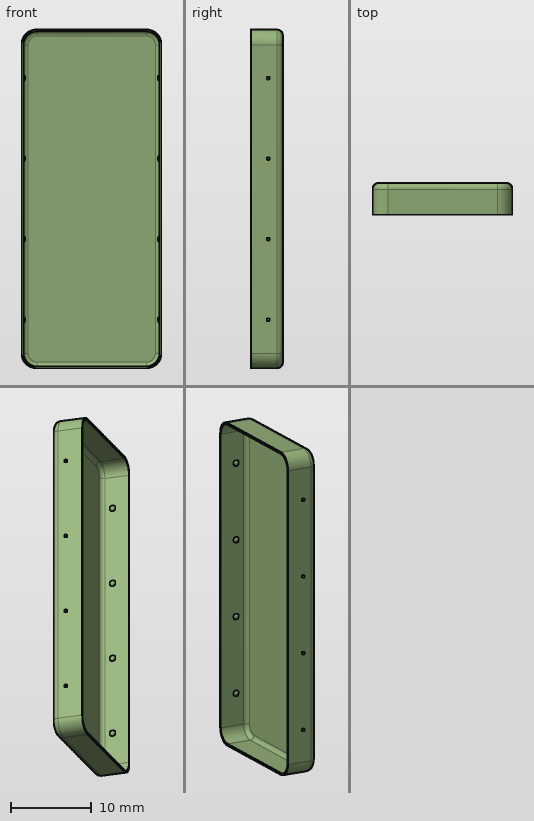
import cadquery as cq

WIDTH = 17.4
DEPTH = 4.0
HEIGHT = 42.1
WALL = 0.25
CORNER_RADIUS = 1.9
FLOOR_EDGE_RADIUS = 0.8

DIMPLES_PER_SIDE = 4
DIMPLE_ROW_LENGTH = 30.0
DIMPLE_FROM_RIM = 2.15
DIMPLE_RADIUS = 0.19
BUMP_RADIUS = 0.45

RIM_Y = -DEPTH / 2


def rounded_block(inset):
    """Tray envelope moved inward by inset on every side except the open one."""
    return (
        cq.Workplane("XZ", origin=(0, RIM_Y, 0))
        .rect(WIDTH - 2 * inset, HEIGHT - 2 * inset)
        .extrude(-(DEPTH - inset))
        .edges("|Y")
        .fillet(CORNER_RADIUS - inset)
        .faces(">Y")
        .edges()
        .fillet(FLOOR_EDGE_RADIUS - inset)
    )


def add_dimple(body, side, z):
    """Press one dimple into the wall at side (-1 or +1), with the domes centred on its outer face."""
    center = cq.Vector(side * WIDTH / 2, RIM_Y + DIMPLE_FROM_RIM, z)
    inward = cq.Vector(-side, 0, 0)
    bump = cq.Solid.makeSphere(BUMP_RADIUS, center, inward, 0, 90, 360)
    hollow = cq.Solid.makeSphere(DIMPLE_RADIUS, center, inward, 0, 90, 360)
    return body.union(bump).cut(hollow)


result = rounded_block(0).cut(rounded_block(WALL))

pitch = DIMPLE_ROW_LENGTH / (DIMPLES_PER_SIDE - 1)
for wall_side in (-1, 1):
    for index in range(DIMPLES_PER_SIDE):
        result = add_dimple(result, wall_side, index * pitch - DIMPLE_ROW_LENGTH / 2)